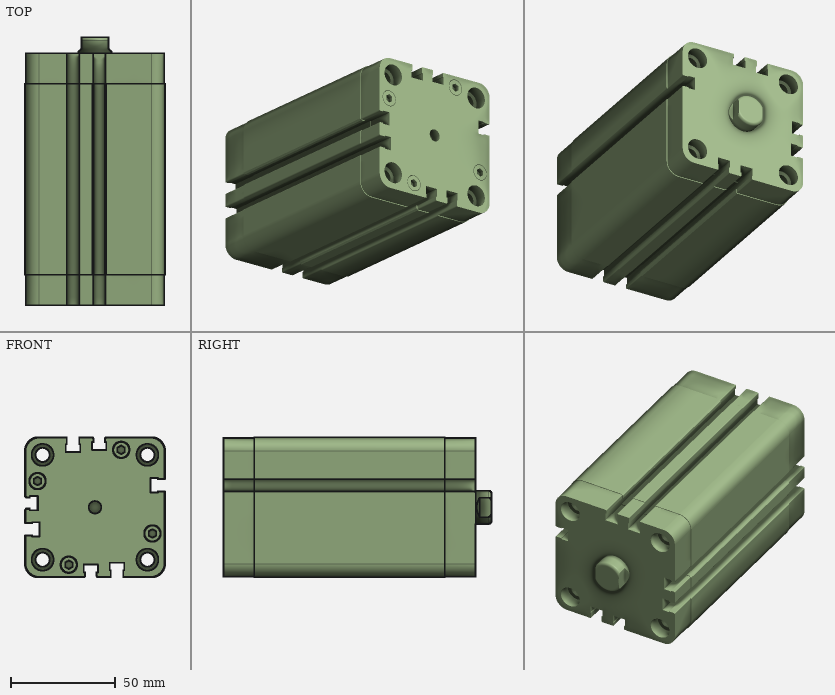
import cadquery as cq
import math


BARREL_SIZE = 67.0
CAP_SIZE = 66.3
CORNER_CENTRE = 26.85
CAP_LENGTH = 14.7
BARREL_LENGTH = 91.0
CASE_LENGTH = BARREL_LENGTH + 2 * CAP_LENGTH

DEEP_SLOT_OFFSET = -10.5
DEEP_SLOT_LIP = 3.5
DEEP_SLOT_BARREL_DEPTH = 6.95
DEEP_SLOT_CAP_DEPTH = 7.15
SHALLOW_SLOT_OFFSET = 2.0
SHALLOW_SLOT_LIP = 2.4
SHALLOW_SLOT_BARREL_DEPTH = 6.0
SHALLOW_SLOT_CAP_DEPTH = 6.4
SLOT_WIDTH = 6.7
SLOT_MOUTH = 5.8
SHALLOW_SLOT_BARREL_MOUTH = 5.1
SLOT_ROUNDING = 0.4
SHALLOW_SLOT_BARREL_CHAMFER = 0.75

DEEP_SLOT_TURNS = (0, 90, 180, 270)
SHALLOW_SLOT_TURNS = (0, 90, 180)

MOUNT_PITCH = 50.0
MOUNT_HOLE_DIAMETER = 6.65
MOUNT_BORE_DIAMETER = 10.5
MOUNT_BORE_DEPTH = 6.5

SCREW_RADIAL = 27.4
SCREW_OFFSET = 12.5
SCREW_POCKET_DIAMETER = 8.0
SCREW_HEAD_DIAMETER = 7.5
SCREW_HEAD_HEIGHT = 5.0
SOCKET_ACROSS_FLATS = 3.6
SOCKET_DEPTH = 3.0

CENTRE_HOLE_DIAMETER = 6.0
CENTRE_HOLE_DEPTH = 6.0

ROD_DIAMETER = 16.0
ROD_LENGTH = 7.6
ROD_TIP_ROUNDING = 1.6
ROD_FLATS = 13.0
ROD_FLAT_LENGTH = 5.6


def plane_at(y):
    """Plane facing -Y, with local x along X and local y along Z."""
    return cq.Workplane("XZ", origin=(0, y, 0))


def extrude_back(sketch, length):
    """Extrude a sketch on a -Y facing plane toward +Y."""
    return sketch.extrude(-length)


def cylinder(x, z, y, diameter, length):
    return extrude_back(plane_at(y).center(x, z).circle(diameter / 2), length)


def rounded_block(y, size, length):
    block = extrude_back(plane_at(y).rect(size, size), length)
    return block.edges("|Y").fillet(size / 2 - CORNER_CENTRE)


def slot_cutter(y, length, offset, mouth, lip, depth):
    """Plain T-slot in the top side, open above the barrel."""
    top = BARREL_SIZE / 2
    half_mouth = mouth / 2
    half_width = SLOT_WIDTH / 2
    right_side = [
        (half_mouth, top),
        (half_mouth, top - lip),
        (half_width, top - lip),
        (half_width, top - depth),
    ]
    left_side = [(-x, z) for x, z in reversed(right_side)]
    outline = plane_at(y).center(offset, 0).polyline(right_side + left_side).close()
    return extrude_back(outline, length)


def chamfer_cutter(y, length, size, offset, mouth, chamfer):
    """Wedge that bevels both mouth edges of a slot in the top side."""
    top = size / 2
    half_mouth = mouth / 2
    corners = [
        (half_mouth + chamfer, top),
        (half_mouth, top - chamfer),
        (-half_mouth, top - chamfer),
        (-half_mouth - chamfer, top),
    ]
    return extrude_back(plane_at(y).center(offset, 0).polyline(corners).close(), length)


def rounding_cutter(y, length, size, offset, mouth):
    """Flared strip that rounds both mouth edges of a slot in the top side."""
    top = size / 2
    half_mouth = mouth / 2
    half_flare = half_mouth + SLOT_ROUNDING
    outline = (
        plane_at(y)
        .center(offset, 0)
        .moveTo(half_flare, top)
        .radiusArc((half_mouth, top - SLOT_ROUNDING), -SLOT_ROUNDING)
        .lineTo(-half_mouth, top - SLOT_ROUNDING)
        .radiusArc((-half_flare, top), -SLOT_ROUNDING)
        .close()
    )
    return extrude_back(outline, length)


def cut_turned(block, cutter, turns):
    """Cut copies of a cutter turned about Y from the top toward the -X side."""
    for turn in turns:
        block = block.cut(cutter.rotate((0, 0, 0), (0, -1, 0), turn))
    return block


def cap(y):
    """End cap whose slot mouths all have rounded edges."""
    deep_slot = slot_cutter(
        y, CAP_LENGTH, DEEP_SLOT_OFFSET, SLOT_MOUTH, DEEP_SLOT_LIP, DEEP_SLOT_CAP_DEPTH
    )
    deep_rounding = rounding_cutter(y, CAP_LENGTH, CAP_SIZE, DEEP_SLOT_OFFSET, SLOT_MOUTH)
    shallow_slot = slot_cutter(
        y, CAP_LENGTH, SHALLOW_SLOT_OFFSET, SLOT_MOUTH, SHALLOW_SLOT_LIP, SHALLOW_SLOT_CAP_DEPTH
    )
    shallow_rounding = rounding_cutter(y, CAP_LENGTH, CAP_SIZE, SHALLOW_SLOT_OFFSET, SLOT_MOUTH)
    block = rounded_block(y, CAP_SIZE, CAP_LENGTH)
    block = cut_turned(block, deep_slot.union(deep_rounding), DEEP_SLOT_TURNS)
    return cut_turned(block, shallow_slot.union(shallow_rounding), SHALLOW_SLOT_TURNS)


def barrel():
    """Barrel with rounded deep slots and narrower, bevelled shallow slots."""
    y = CAP_LENGTH
    deep_slot = slot_cutter(
        y, BARREL_LENGTH, DEEP_SLOT_OFFSET, SLOT_MOUTH, DEEP_SLOT_LIP, DEEP_SLOT_BARREL_DEPTH
    )
    deep_rounding = rounding_cutter(y, BARREL_LENGTH, BARREL_SIZE, DEEP_SLOT_OFFSET, SLOT_MOUTH)
    shallow_slot = slot_cutter(
        y,
        BARREL_LENGTH,
        SHALLOW_SLOT_OFFSET,
        SHALLOW_SLOT_BARREL_MOUTH,
        SHALLOW_SLOT_LIP,
        SHALLOW_SLOT_BARREL_DEPTH,
    )
    shallow_bevel = chamfer_cutter(
        y,
        BARREL_LENGTH,
        BARREL_SIZE,
        SHALLOW_SLOT_OFFSET,
        SHALLOW_SLOT_BARREL_MOUTH,
        SHALLOW_SLOT_BARREL_CHAMFER,
    )
    block = rounded_block(y, BARREL_SIZE, BARREL_LENGTH)
    block = cut_turned(block, deep_slot.union(deep_rounding), DEEP_SLOT_TURNS)
    return cut_turned(block, shallow_slot.union(shallow_bevel), SHALLOW_SLOT_TURNS)


def cut_mounting_holes(case):
    """Four through holes, counterbored from both cap faces."""
    half_pitch = MOUNT_PITCH / 2
    for x in (-half_pitch, half_pitch):
        for z in (-half_pitch, half_pitch):
            case = case.cut(cylinder(x, z, 0, MOUNT_HOLE_DIAMETER, CASE_LENGTH))
            for bore_start in (0, CASE_LENGTH - MOUNT_BORE_DEPTH):
                case = case.cut(cylinder(x, z, bore_start, MOUNT_BORE_DIAMETER, MOUNT_BORE_DEPTH))
    return case


def cut_cap_screws(case):
    """Ring gap around each flush screw head, and its hexagon socket."""
    socket_diameter = SOCKET_ACROSS_FLATS / math.cos(math.pi / 6)
    centres = [
        (SCREW_OFFSET, SCREW_RADIAL),
        (-SCREW_RADIAL, SCREW_OFFSET),
        (-SCREW_OFFSET, -SCREW_RADIAL),
        (SCREW_RADIAL, -SCREW_OFFSET),
    ]
    for x, z in centres:
        pocket = cylinder(x, z, 0, SCREW_POCKET_DIAMETER, SCREW_HEAD_HEIGHT)
        head = cylinder(x, z, 0, SCREW_HEAD_DIAMETER, SCREW_HEAD_HEIGHT)
        hexagon = plane_at(0).polygon(6, socket_diameter)
        socket = extrude_back(hexagon, SOCKET_DEPTH)
        socket = socket.rotate((0, 0, 0), (0, 1, 0), 90).translate((x, 0, z))
        case = case.cut(pocket.cut(head)).cut(socket)
    return case


def piston_rod():
    """Rod end with a rounded tip and two wrench flats facing -X and +X."""
    radius = ROD_DIAMETER / 2
    half_flats = ROD_FLATS / 2
    tip_y = CASE_LENGTH + ROD_LENGTH
    flat_y = tip_y - ROD_FLAT_LENGTH
    rod = cylinder(0, 0, CASE_LENGTH, ROD_DIAMETER, ROD_LENGTH)
    rod = rod.faces(">Y").edges().fillet(ROD_TIP_ROUNDING)
    flat_outline = [
        (half_flats, tip_y),
        (half_flats, flat_y),
        (radius, flat_y - (radius - half_flats)),
        (radius, tip_y),
    ]
    flat = cq.Workplane("XY").polyline(flat_outline).close().extrude(radius, both=True)
    return rod.cut(flat).cut(flat.mirror("YZ"))


case = cap(0).union(barrel()).union(cap(CAP_LENGTH + BARREL_LENGTH))
case = cut_mounting_holes(case)
case = cut_cap_screws(case)
case = case.cut(cylinder(0, 0, 0, CENTRE_HOLE_DIAMETER, CENTRE_HOLE_DEPTH))
result = case.union(piston_rod())